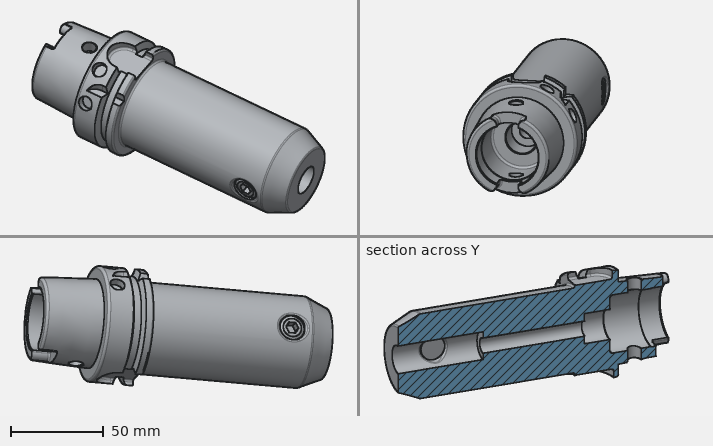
import cadquery as cq
import math


taper_length = 32.0
gauge_radius = 24.005
gauge_x = -6.3
taper_slope = 1 / 20
taper_base_radius = gauge_radius - gauge_x * taper_slope
taper_tip_radius = taper_base_radius - taper_length * taper_slope
taper_tip_fillet = 1.5

flange_radius = 31.5
flange_length = 26.0
flange_front_fillet = 1.5
flange_back_fillet = 1.0
groove_center_x = 18.0
groove_bottom_radius = 27.5
groove_bottom_width = 4.0
groove_mouth_width = 7.2

nose_radius = 25.0
nose_end_x = 130.0
nose_root_fillet = 1.0
cone_start_x = 117.05
cone_end_radius = 19.35
cone_start_fillet = 2.2
cone_end_fillet = 1.0

socket_mouth_radius = 17.1
socket_mouth_chamfer_width = 0.4
socket_mouth_chamfer_depth = 0.8
socket_mouth_depth = 13.0
socket_radius = 16.9
socket_floor_fillet = 1.3
socket_floor_x = 5.0
tube_recess_radius = 8.7
tube_recess_chamfer = 0.4
tube_recess_depth = 15.0
through_hole_radius = 4.3
tool_bore_radius = 8.0
tool_bore_depth = 50.0
tool_bore_start_x = nose_end_x - tool_bore_depth

drive_slot_width = 12.0
drive_slot_depth_top = 6.0
drive_slot_depth_bottom = 10.0
drive_slot_floor_fillet = 1.0
drive_slot_lip_radius = 3.5
drive_slot_lip_height = 20.4

cross_hole_radius = 3.8
cross_hole_chamfer = 0.4
cross_hole_x = -9.2

keyway_floor_height = 26.5
keyway_width_top = 18.0
keyway_width_bottom = 20.0
keyway_arc_center_x = 13.0
keyway_floor_fillet = 1.2

notch_offset = 20.0
notch_cutter_radius = 8.0
notch_arc_center_x = 12.0
pocket_diameter = 8.0
pocket_x = 6.4
pocket_depth = 4.5
pocket_angles = (26.5, 63.5)

screw_x = nose_end_x - 24.0
screw_radius = 7.0
screw_head_y = -23.2
screw_head_chamfer_width = 1.9
screw_head_chamfer_depth = 1.2
hex_across_flats = 6.0
hex_depth = 6.0
countersink_radius = 8.5
countersink_rim_fillet = 1.4
balance_hole_radius = 5.7

clearance = 1.0


def revolved(points):
    """Solid of revolution about the X axis from (x, radius) points."""
    return cq.Workplane("XY").polyline(points).close().revolve(360, (0, 0, 0), (1, 0, 0))


class RimSelector(cq.Selector):
    """Selects the circular edges about the X axis at one x and radius."""

    def __init__(self, x, radius):
        self.x = x
        self.radius = radius

    def filter(self, edges):
        return [edge for edge in edges if self.matches(edge)]

    def matches(self, edge):
        tolerance = 1e-4
        if edge.geomType() != "CIRCLE":
            return False
        same_radius = abs(edge.radius() - self.radius) < tolerance
        return same_radius and abs(edge.arcCenter().x - self.x) < tolerance


def outer_form():
    half_bottom = groove_bottom_width / 2
    half_mouth = groove_mouth_width / 2
    body = revolved([
        (-taper_length, 0),
        (-taper_length, taper_tip_radius),
        (0, taper_base_radius),
        (0, flange_radius),
        (groove_center_x - half_mouth, flange_radius),
        (groove_center_x - half_bottom, groove_bottom_radius),
        (groove_center_x + half_bottom, groove_bottom_radius),
        (groove_center_x + half_mouth, flange_radius),
        (flange_length, flange_radius),
        (flange_length, nose_radius),
        (cone_start_x, nose_radius),
        (nose_end_x, cone_end_radius),
        (nose_end_x, 0),
    ])
    rims = [
        (-taper_length, taper_tip_radius, taper_tip_fillet),
        (0, flange_radius, flange_front_fillet),
        (flange_length, flange_radius, flange_back_fillet),
        (flange_length, nose_radius, nose_root_fillet),
        (cone_start_x, nose_radius, cone_start_fillet),
        (nose_end_x, cone_end_radius, cone_end_fillet),
    ]
    for x, radius, size in rims:
        body = body.edges(RimSelector(x, radius)).fillet(size)
    return body


def axial_bores():
    mouth_x = -taper_length
    recess_end_x = socket_floor_x + tube_recess_depth
    bores = revolved([
        (mouth_x, 0),
        (mouth_x, socket_mouth_radius + socket_mouth_chamfer_width),
        (mouth_x + socket_mouth_chamfer_depth, socket_mouth_radius),
        (mouth_x + socket_mouth_depth, socket_mouth_radius),
        (mouth_x + socket_mouth_depth, socket_radius),
        (socket_floor_x, socket_radius),
        (socket_floor_x, tube_recess_radius + tube_recess_chamfer),
        (socket_floor_x + tube_recess_chamfer, tube_recess_radius),
        (recess_end_x, tube_recess_radius),
        (recess_end_x, through_hole_radius),
        (tool_bore_start_x, through_hole_radius),
        (tool_bore_start_x, tool_bore_radius),
        (nose_end_x, tool_bore_radius),
        (nose_end_x, 0),
    ])
    return bores.edges(RimSelector(socket_floor_x, socket_radius)).fillet(socket_floor_fillet)


def drive_slot(depth):
    """Slot toward +Z whose walls flare outward in an arc where they reach the taper surface."""
    half_width = drive_slot_width / 2
    lip_radius = drive_slot_lip_radius
    lip_start = drive_slot_lip_height - lip_radius
    lip_y = half_width + lip_radius
    mid_y = half_width + lip_radius * (1 - math.sqrt(0.5))
    mid_z = lip_start + lip_radius * math.sqrt(0.5)
    top = taper_base_radius + clearance
    profile = (
        cq.Workplane("YZ", origin=(-taper_length, 0, 0))
        .moveTo(-half_width, 0)
        .lineTo(half_width, 0)
        .lineTo(half_width, lip_start)
        .threePointArc((mid_y, mid_z), (lip_y, drive_slot_lip_height))
        .lineTo(lip_y, top)
        .lineTo(-lip_y, top)
        .lineTo(-lip_y, drive_slot_lip_height)
        .threePointArc((-mid_y, mid_z), (-half_width, lip_start))
        .close()
    )
    slot = profile.extrude(depth)
    floor_sides = slot.faces(">X").edges("not #Z")
    return floor_sides.fillet(drive_slot_floor_fillet)


def keyway(width):
    """Round-ended keyway toward +Z, open at the back of the flange, with a rounded floor edge."""
    radius = width / 2
    height = flange_radius + clearance - keyway_floor_height
    start = cq.Workplane("XY", origin=(0, 0, keyway_floor_height))
    cutter = (
        start.moveTo(keyway_arc_center_x, radius)
        .threePointArc((keyway_arc_center_x - radius, 0), (keyway_arc_center_x, -radius))
        .lineTo(flange_length, -radius)
        .lineTo(flange_length, radius)
        .close()
        .extrude(height)
    )
    return cutter.faces("<Z").edges("not >X").fillet(keyway_floor_fillet)


def corner_notch():
    """Corner cut by an upright round cutter: floor facing +Z, wall facing -Y."""
    radius = notch_cutter_radius
    start = cq.Workplane("XY", origin=(0, 0, notch_offset))
    arc_mid_x = notch_arc_center_x - radius
    return (
        start.moveTo(notch_arc_center_x, -notch_offset)
        .threePointArc(
            (arc_mid_x, -notch_offset - radius),
            (notch_arc_center_x, -notch_offset - 2 * radius),
        )
        .lineTo(flange_length, -notch_offset - 2 * radius)
        .lineTo(flange_length, -notch_offset)
        .close()
        .extrude(flange_radius)
    )


def flange_pocket(angle):
    """Radial blind hole at an angle measured from -Y toward +Z."""
    outward = cq.Vector(0, -math.cos(math.radians(angle)), math.sin(math.radians(angle)))
    floor_center = outward * (flange_radius - pocket_depth) + cq.Vector(pocket_x, 0, 0)
    plane = cq.Plane(floor_center, (1, 0, 0), outward)
    return cq.Workplane(plane).circle(pocket_diameter / 2).extrude(pocket_depth + clearance)


def cross_hole():
    """Upright through hole with a small conical mouth at the taper surface on both sides."""
    surface_z = taper_base_radius + cross_hole_x * taper_slope
    mouth_radius = cross_hole_radius + cross_hole_chamfer
    sink_z = surface_z - cross_hole_chamfer
    top_z = surface_z + clearance
    half = [
        (0, 0),
        (cross_hole_radius, 0),
        (cross_hole_radius, sink_z),
        (mouth_radius + clearance, top_z),
        (0, top_z),
    ]
    start = cq.Workplane("XZ", origin=(cross_hole_x, 0, 0))
    upper = start.polyline(half).close().revolve(360, (0, 0, 0), (0, 1, 0))
    return upper.union(upper.mirror("XY"))


def about_screw_axis(points):
    """Solid of revolution about the screw axis from (radius, y) points."""
    start = cq.Workplane("XY", origin=(screw_x, 0, 0))
    return start.polyline(points).close().revolve(360, (0, 0, 0), (0, 1, 0))


def screw_seat():
    """Countersunk hole from the -Y side into the tool bore."""
    sink_depth = countersink_radius - screw_radius
    return about_screw_axis([
        (0, 0),
        (screw_radius, 0),
        (screw_radius, sink_depth - nose_radius),
        (countersink_radius + clearance, -nose_radius - clearance),
        (0, -nose_radius - clearance),
    ])


def balance_hole():
    """Plain hole opposite the screw, from the +Y side into the tool bore."""
    length = nose_radius + clearance
    return about_screw_axis([(0, 0), (balance_hole_radius, 0), (balance_hole_radius, length), (0, length)])


def make_holder():
    holder = outer_form().cut(axial_bores())
    holder = holder.cut(drive_slot(drive_slot_depth_top))
    holder = holder.cut(drive_slot(drive_slot_depth_bottom).rotate((0, 0, 0), (1, 0, 0), 180))
    holder = holder.cut(keyway(keyway_width_top))
    holder = holder.cut(keyway(keyway_width_bottom).rotate((0, 0, 0), (1, 0, 0), 180))
    holder = holder.cut(corner_notch()).cut(cross_hole())
    for angle in pocket_angles:
        holder = holder.cut(flange_pocket(angle))
    holder = holder.cut(screw_seat())
    near_seat = cq.selectors.BoxSelector(
        (screw_x - 2 * screw_radius, -nose_radius, -screw_radius),
        (screw_x + 2 * screw_radius, 0, screw_radius),
    )
    holder = holder.edges(near_seat).edges("%BSPLINE").fillet(countersink_rim_fillet)
    return holder.cut(balance_hole())


def make_clamping_screw():
    """Set screw with a chamfered head and a hexagon socket, ending at the tool bore."""
    inner_y = -tool_bore_radius
    body = about_screw_axis([
        (0, inner_y),
        (screw_radius, inner_y),
        (screw_radius, screw_head_y + screw_head_chamfer_depth),
        (screw_radius - screw_head_chamfer_width, screw_head_y),
        (0, screw_head_y),
    ])
    head = cq.Workplane("XZ", origin=(screw_x, screw_head_y, 0))
    corner_diameter = hex_across_flats / math.cos(math.pi / 6)
    return body.cut(head.polygon(6, corner_diameter).extrude(-hex_depth))


holder = make_holder()
clamping_screw = make_clamping_screw()

result = cq.Compound.makeCompound([holder.val(), clamping_screw.val()])